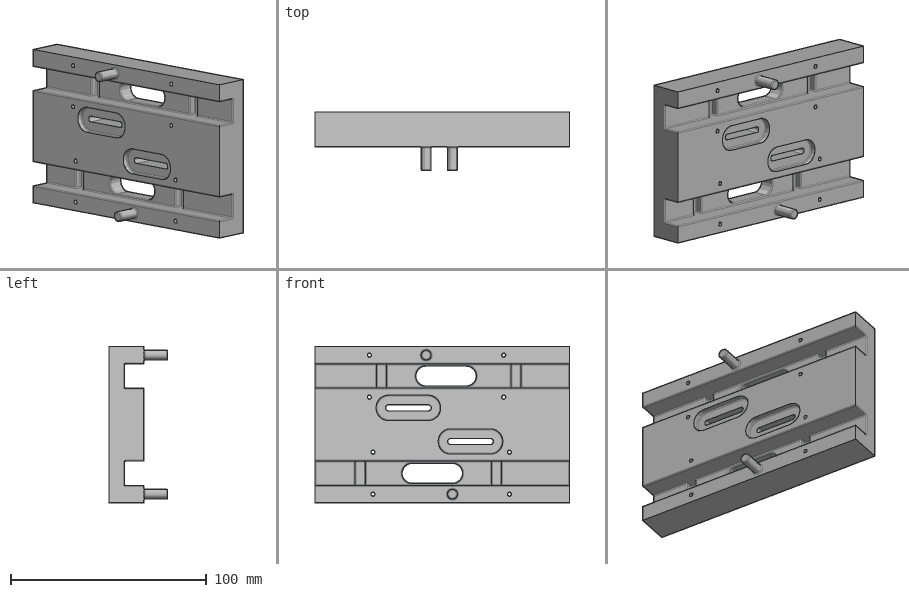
import cadquery as cq

LENGTH = 130.0
HEIGHT = 80.0
TOTAL_DEPTH = 30.0
THICKNESS = 18.0
EDGE_RADIUS = 0.5

CHANNEL_Z = 24.8
CHANNEL_WIDTH = 12.4
CHANNEL_DEPTH = 9.9

GROOVE_WIDTH = 5.2
GROOVE_DEPTH = 3.9
UPPER_GROOVES_X = (-31.0, 37.7)
LOWER_GROOVES_X = (-41.9, 27.7)

WINDOW_LENGTH = 30.8
WINDOW_WIDTH = 10.0
UPPER_WINDOW_X = 2.0
LOWER_WINDOW_X = -5.1

RECESS_LENGTH = 33.0
RECESS_WIDTH = 13.0
RECESS_DEPTH = 3.0
SLOT_LENGTH = 23.3
SLOT_WIDTH = 3.0
STEPPED_SLOT_CENTRES = ((-17.3, 8.6), (14.4, -8.6))

HOLE_DIAMETER = 2.0
OUTER_ROW_Z = 35.5
INNER_ROW_Z = 14.0
UPPER_HOLES_X = (-37.2, 31.3)
LOWER_HOLES_X = (-35.4, 34.3)

PIN_DIAMETER = 5.1
PIN_LENGTH = TOTAL_DEPTH - THICKNESS
UPPER_PIN_X = -8.2
LOWER_PIN_X = 5.2


def block(x_size, y_start, y_end, z_size, x, z):
    """Box centred on (x, z) that spans y_start to y_end."""
    return cq.Workplane("XY").box(x_size, y_end - y_start, z_size).translate((x, (y_start + y_end) / 2, z))


def front_plane(y=0.0):
    """Plane facing -Y at depth y, with its axes along X and Z."""
    return cq.Workplane("XZ", origin=(0, y, 0))


def slot_cutter(length, width, y_start, y_end, x, z):
    """Round-ended slot along X that spans y_start to y_end."""
    return front_plane(y_start).center(x, z).slot2D(length, width).extrude(y_start - y_end)


def channel_edges(body, z):
    """Edges of the channel at height z, mouth and both ends included."""
    margin = 0.1
    reach_x = LENGTH / 2 + margin
    reach_z = CHANNEL_WIDTH / 2 + margin
    box = cq.selectors.BoxSelector(
        (-reach_x, -margin, z - reach_z), (reach_x, CHANNEL_DEPTH + margin, z + reach_z), boundingbox=True
    )
    return body.edges(box)


def channel_cutter(grooves_x, z):
    """Channel and its cross grooves as one body, with rounded inner corners."""
    cutter = block(LENGTH, -CHANNEL_DEPTH, CHANNEL_DEPTH, CHANNEL_WIDTH, 0, z)
    for x in grooves_x:
        cutter = cutter.union(block(GROOVE_WIDTH, 0, CHANNEL_DEPTH + GROOVE_DEPTH, CHANNEL_WIDTH, x, z))
    rims = cutter.edges("|Z").filter(
        lambda edge: abs(edge.Center().x) < LENGTH / 2 - EDGE_RADIUS
        and abs(edge.Center().y - CHANNEL_DEPTH) < EDGE_RADIUS
    )
    cutter = rims.fillet(EDGE_RADIUS)
    wall_edges = cutter.edges().filter(
        lambda edge: edge.Center().y > CHANNEL_DEPTH / 2
        and abs(edge.Center().z - z) > CHANNEL_WIDTH / 2 - EDGE_RADIUS
    )
    return wall_edges.add(cutter.faces(">Y").edges("|Z")).fillet(EDGE_RADIUS)


def cut_channel(body, grooves_x, z):
    """Grooved channel with a rounded mouth and rounded ends."""
    body = body.cut(channel_cutter(grooves_x, z))
    rims = channel_edges(body, z).filter(
        lambda edge: edge.Center().y < EDGE_RADIUS / 2 or abs(edge.Center().x) > LENGTH / 2 - EDGE_RADIUS / 2
    )
    return rims.fillet(EDGE_RADIUS)


def rim_edges(body, length, width, y, x, z):
    """Edges at depth y inside a length by width area centred on (x, z)."""
    margin = 0.01
    box = cq.selectors.BoxSelector(
        (x - length / 2 - margin, y - margin, z - width / 2 - margin),
        (x + length / 2 + margin, y + margin, z + width / 2 + margin),
        boundingbox=True,
    )
    return body.edges(box)


def add_pin(body, x, z):
    """Pin with a rounded tip and a fillet where it meets the plate."""
    pin = front_plane(THICKNESS / 2).center(x, z).circle(PIN_DIAMETER / 2).extrude(THICKNESS / 2 + PIN_LENGTH)
    pin = pin.faces("<Y").fillet(EDGE_RADIUS)
    return rim_edges(body.union(pin), PIN_DIAMETER, PIN_DIAMETER, 0, x, z).fillet(EDGE_RADIUS)


result = block(LENGTH, 0, THICKNESS, HEIGHT, 0, 0)

for side, grooves_x, window_x, holes_x, pin_x in (
    (1, UPPER_GROOVES_X, UPPER_WINDOW_X, UPPER_HOLES_X, UPPER_PIN_X),
    (-1, LOWER_GROOVES_X, LOWER_WINDOW_X, LOWER_HOLES_X, LOWER_PIN_X),
):
    z = side * CHANNEL_Z
    result = cut_channel(result, grooves_x, z)
    result = result.cut(slot_cutter(WINDOW_LENGTH, WINDOW_WIDTH, 0, THICKNESS, window_x, z))
    result = rim_edges(result, WINDOW_LENGTH, WINDOW_WIDTH, CHANNEL_DEPTH, window_x, z).fillet(EDGE_RADIUS)
    holes = [(x, side * row) for x in holes_x for row in (OUTER_ROW_Z, INNER_ROW_Z)]
    result = result.cut(front_plane().pushPoints(holes).circle(HOLE_DIAMETER / 2).extrude(-THICKNESS))
    result = add_pin(result, pin_x, side * OUTER_ROW_Z)

for x, z in STEPPED_SLOT_CENTRES:
    recess = slot_cutter(RECESS_LENGTH, RECESS_WIDTH, 0, RECESS_DEPTH, x, z)
    result = result.cut(recess.faces(">Y").edges().fillet(EDGE_RADIUS))
    result = result.cut(slot_cutter(SLOT_LENGTH, SLOT_WIDTH, 0, THICKNESS, x, z))